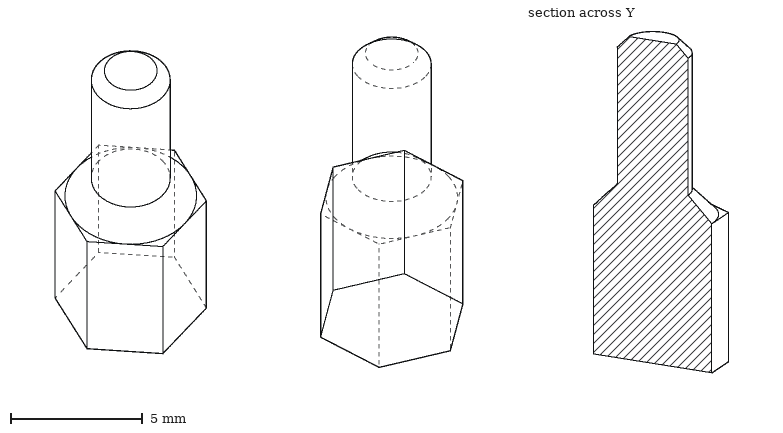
import cadquery as cq
import math

across_flats = 5.0
hex_height = 6.0

stud_radius = 1.5
stud_length = 7.0
tip_chamfer = 0.5

shoulder_radius = across_flats / 2
shoulder_height = shoulder_radius - stud_radius

total_height = hex_height + stud_length


def hex_body():
    """Hexagonal prism with corners pointing along -Y and +Y."""
    across_corners = across_flats / math.cos(math.pi / 6)
    return (
        cq.Workplane("XY")
        .transformed(rotate=(0, 0, 90))
        .polygon(6, across_corners)
        .extrude(hex_height)
    )


def shouldered_stud():
    """Cone, cylinder and chamfered tip, revolved about Z as one profile."""
    shoulder_top = hex_height + shoulder_height
    return (
        cq.Workplane("XZ")
        .moveTo(0, hex_height)
        .lineTo(shoulder_radius, hex_height)
        .lineTo(stud_radius, shoulder_top)
        .lineTo(stud_radius, total_height - tip_chamfer)
        .lineTo(stud_radius - tip_chamfer, total_height)
        .lineTo(0, total_height)
        .close()
        .revolve(360, (0, 0), (0, 1))
    )


result = hex_body().union(shouldered_stud())